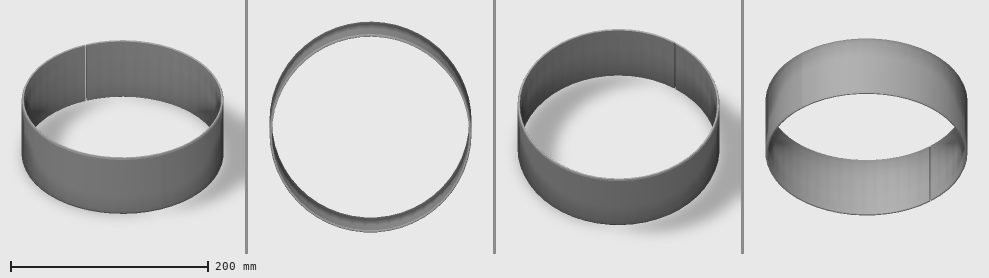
import cadquery as cq

outer_diameter = 205.0
height = 70.0
wall = 2.5
outer_chamfer_height = 1.8
outer_chamfer_depth = 0.72
inner_chamfer = 0.5
split_width = 1.8

outer_radius = outer_diameter / 2
inner_radius = outer_radius - wall
outer_rim_radius = outer_radius - outer_chamfer_depth
inner_rim_radius = inner_radius + inner_chamfer
half_height = height / 2
outer_chamfer_start = half_height - outer_chamfer_height
inner_chamfer_start = half_height - inner_chamfer


def ring():
    """Revolve the wall section, with bevelled rims at both ends."""
    section = [
        (inner_rim_radius, -half_height),
        (outer_rim_radius, -half_height),
        (outer_radius, -outer_chamfer_start),
        (outer_radius, outer_chamfer_start),
        (outer_rim_radius, half_height),
        (inner_rim_radius, half_height),
        (inner_radius, inner_chamfer_start),
        (inner_radius, -inner_chamfer_start),
    ]
    return cq.Workplane("XZ").polyline(section).close().revolve(360, (0, 0), (0, 1))


def split_cutter():
    """Box that opens the wall on the -X side, with one face on the plane Y = 0."""
    cutter = cq.Workplane("XY").box(4 * wall, split_width, height)
    return cutter.translate((-outer_radius, split_width / 2, 0))


result = ring().cut(split_cutter())